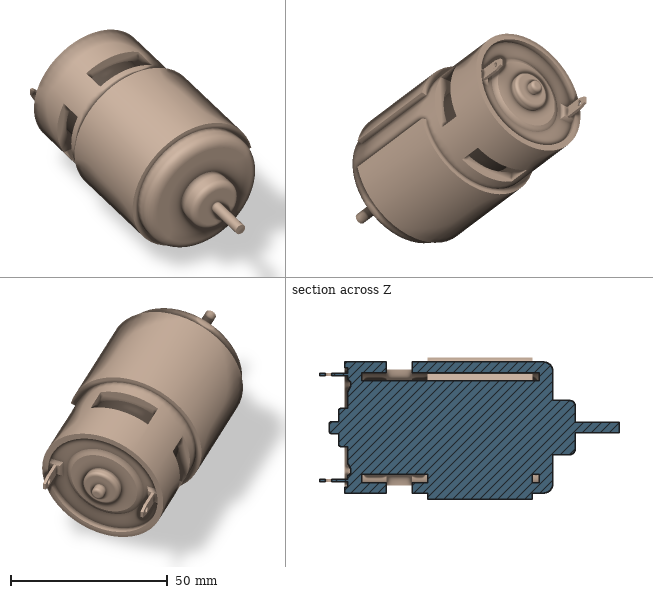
import cadquery as cq
import math

can_diameter = 42.0
rim_inner_diameter = 38.0
can_length = 66.6
can_nose_fillet = 3.15
rear_recess_depth = 2.0

sleeve_diameter = 45.9
sleeve_start = 26.5
sleeve_end = 60.1
sleeve_gap_width = 10.2

window_start = 13.5
window_end = 21.6
window_width = 19.9
core_diameter = 30.0
cavity_diameter = 35.0
cavity_start = 5.7
cavity_end = 62.1

front_boss_diameter = 17.5
front_boss_end = 73.7
front_boss_fillet = 2.0
shaft_diameter = 3.5
shaft_end = 87.7

rear_plate_base_diameter = 26.5
rear_plate_top_diameter = 22.9
rear_plate_height = 1.0
rear_boss_diameter = 12.4
rear_boss_projection = 1.9
rear_boss_fillet = 1.05
pin_diameter = 4.0
pin_projection = 4.9
pin_fillet = 1.0

terminal_offset = 16.9
terminal_thickness = 1.0
terminal_width = 3.8
terminal_tip_width = 2.3
terminal_projection = 7.8
terminal_taper_length = 2.7
terminal_hole_diameter = 2.0
terminal_hole_projection = 5.1

block_inner_offset = 14.5
block_width = 6.2
block_height = 1.0
block_end_bevel = 1.1
block_inner_bevel = 0.9


def rod(diameter, start, end):
    """Solid cylinder on the motor axis."""
    return cq.Workplane("YZ", origin=(start, 0, 0)).circle(diameter / 2).extrude(end - start)


def box(x_range, y_range, z_size):
    """Box between given X and Y limits, centred on Z = 0."""
    length = x_range[1] - x_range[0]
    depth = y_range[1] - y_range[0]
    corner = (x_range[0], y_range[0], -z_size / 2)
    return cq.Workplane("XY").box(length, depth, z_size, centered=False).translate(corner)


def make_can():
    """Can with a recessed rear face and four windows onto a core in an annular cavity."""
    can = rod(can_diameter, 0, can_length).faces(">X").edges().fillet(can_nose_fillet)
    can = can.cut(rod(rim_inner_diameter, 0, rear_recess_depth))
    core = rod(core_diameter, cavity_start, cavity_end)
    cavity = rod(cavity_diameter, cavity_start, cavity_end).cut(core)
    windows = box((window_start, window_end), (-can_diameter, can_diameter), window_width)
    windows = windows.union(windows.rotate((0, 0, 0), (1, 0, 0), 90))
    return can.cut(cavity).cut(windows.cut(core))


def make_sleeve():
    """Sleeve around the can, with a gap whose sides are radial."""
    sleeve = rod(sleeve_diameter, sleeve_start, sleeve_end)
    half_angle = math.asin(sleeve_gap_width / sleeve_diameter)
    reach = sleeve_diameter
    half_spread = reach * math.tan(half_angle)
    gap = (
        cq.Workplane("YZ", origin=(sleeve_start, 0, 0))
        .polyline([(0, 0), (reach, -half_spread), (reach, half_spread)])
        .close()
        .extrude(sleeve_end - sleeve_start)
    )
    return sleeve.cut(gap)


def make_front():
    """Front bearing boss and output shaft."""
    boss = rod(front_boss_diameter, can_length, front_boss_end)
    boss = boss.faces(">X").edges().fillet(front_boss_fillet)
    return boss.union(rod(shaft_diameter, can_length, shaft_end))


def make_rear():
    """Conical plate, bearing boss and pin on the recessed rear face."""
    plate = (
        cq.Workplane("YZ", origin=(rear_recess_depth, 0, 0))
        .circle(rear_plate_base_diameter / 2)
        .workplane(offset=-rear_plate_height)
        .circle(rear_plate_top_diameter / 2)
        .loft()
    )
    boss = rod(rear_boss_diameter, -rear_boss_projection, rear_recess_depth)
    boss = boss.faces("<X").edges().fillet(rear_boss_fillet)
    pin = rod(pin_diameter, -pin_projection, rear_recess_depth)
    pin = pin.faces("<X").edges().fillet(pin_fillet)
    return plate.union(boss).union(pin)


def make_block():
    """Terminal block bevelled at both ends and on its inner side, fitted to the can rim."""
    base = rear_recess_depth
    top = base - block_height
    outer = can_diameter / 2
    half_width = block_width / 2
    half_top = half_width - block_end_bevel
    end_profile = (
        cq.Workplane("XZ")
        .polyline([(base, -half_width), (top, -half_top), (top, half_top), (base, half_width)])
        .close()
        .extrude(-outer)
    )
    top_inner = block_inner_offset + block_inner_bevel
    side_profile = (
        cq.Workplane("XY")
        .polyline([(base, block_inner_offset), (top, top_inner), (top, outer), (base, outer)])
        .close()
        .extrude(half_width, both=True)
    )
    return end_profile.intersect(side_profile).intersect(rod(rim_inner_diameter, 0, base))


def make_tab():
    """Pierced terminal tab that tapers to a blunt tip."""
    half_width = terminal_width / 2
    half_tip = terminal_tip_width / 2
    taper_start = terminal_taper_length - terminal_projection
    return (
        cq.Workplane("XZ", origin=(0, terminal_offset + terminal_thickness / 2, 0))
        .moveTo(rear_recess_depth, -half_width)
        .lineTo(taper_start, -half_width)
        .lineTo(-terminal_projection, -half_tip)
        .lineTo(-terminal_projection, half_tip)
        .lineTo(taper_start, half_width)
        .lineTo(rear_recess_depth, half_width)
        .close()
        .moveTo(-terminal_hole_projection, 0)
        .circle(terminal_hole_diameter / 2)
        .extrude(terminal_thickness)
    )


terminal = make_block().union(make_tab())
result = make_can().union(make_sleeve()).union(make_front()).union(make_rear())
result = result.union(terminal).union(terminal.mirror("XZ"))